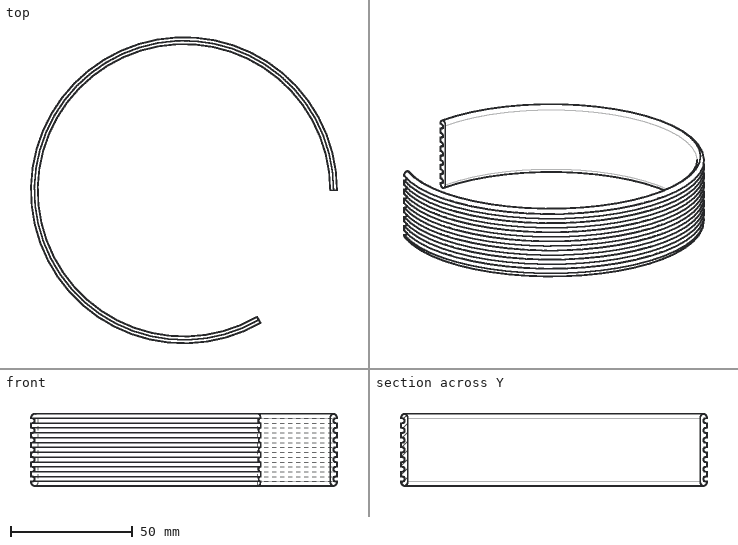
import cadquery as cq
import math

outer_radius = 63.0
wall = 2.9
height = 29.9
sweep_angle = 300.0

rim_radius = 2.0
inner_radius = outer_radius - wall
crest_radius = outer_radius - wall / 2
half_height = height / 2
crest_rise = math.sqrt(rim_radius**2 - (rim_radius - wall / 2) ** 2)
rim_base = half_height - crest_rise

groove_count = 7
land_count = groove_count - 1
groove_width = 2 * rim_base / (groove_count + land_count)
groove_pitch = 2 * groove_width
groove_depth = 1.5
groove_radius = groove_width / 2
groove_floor = outer_radius - groove_depth
groove_arc_center = groove_floor + groove_radius


def groove_heights():
    """Heights of the groove centers, evenly spaced about mid-height."""
    lowest = -groove_pitch * (groove_count - 1) / 2
    return [lowest + i * groove_pitch for i in range(groove_count)]


def add_groove(outline, center):
    """Continue the outline upward around one groove in the outer face."""
    bottom = center - groove_radius
    top = center + groove_radius
    return (
        outline.lineTo(groove_arc_center, bottom)
        .threePointArc((groove_floor, center), (groove_arc_center, top))
        .lineTo(outer_radius, top)
    )


def wall_section():
    """Closed radius/height section of the grooved wall with its two rims."""
    outline = (
        cq.Workplane("XZ")
        .moveTo(inner_radius, -rim_base)
        .radiusArc((crest_radius, -half_height), -rim_radius)
        .radiusArc((outer_radius, -rim_base), -rim_radius)
    )
    for index, center in enumerate(groove_heights()):
        if index > 0:
            outline = outline.lineTo(outer_radius, center - groove_radius)
        outline = add_groove(outline, center)
    return (
        outline.radiusArc((crest_radius, half_height), -rim_radius)
        .radiusArc((inner_radius, rim_base), -rim_radius)
        .close()
    )


result = wall_section().revolve(sweep_angle, (0, 0, 0), (0, 1, 0))